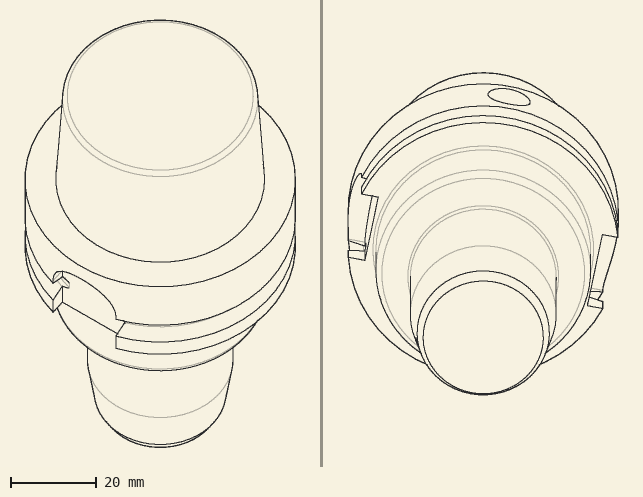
import cadquery as cq
import math


cutter_overrun = 1.0

taper_length = 32.0
taper_gauge_radius = 24.0
taper_gauge_height = 6.3
taper_ratio = 1 / 20
taper_end_fillet = 1.1

flange_radius = 63.0 / 2
flange_length = 26.0

groove_center_z = -18.05
groove_floor_radius = 54.8 / 2
groove_mouth_half_width = 3.25
groove_floor_half_width = 1.55
groove_fillet = 1.15

neck_radius = 50.0 / 2
neck_top_fillet = 0.7
shoulder_angle = 18.0
shoulder_bottom_z = -44.3
shoulder_outer_fillet = 2.0
shoulder_inner_fillet = 0.8

shank_radius = 34.0 / 2
body_bottom_z = -85.0
nose_length = 15.5
nose_radius = 15.4
nose_chamfer_height = 3.0
nose_chamfer_width = 1.4

slot_floor_distance = 26.5
slot_arc_center_z = -13.8
front_slot_width = 18.0
rear_slot_width = 16.0

recess_radius = 10.0 / 2
recess_z = -7.0
recess_depth = 5.0
mark_radius = 1.0
mark_half_angle = 59.0


def taper_radius(z):
    """Radius of the spindle taper at height z."""
    return taper_gauge_radius + (taper_gauge_height - z) * taper_ratio


def revolve_around_z(outline):
    """Revolve a closed outline of (radius, height) points around Z."""
    return cq.Workplane("XZ").polyline(outline).close().revolve(360, (0, 0, 0), (0, 1, 0))


def edge_circle(solid, radius, z):
    """Select the full circular edge of the given radius at height z."""
    margin = 0.01
    reach = radius + margin
    lower = (-reach, -reach, z - margin)
    upper = (reach, reach, z + margin)
    inside = solid.edges(cq.selectors.BoxSelector(lower, upper, boundingbox=True))
    return inside.filter(lambda edge: abs(edge.radius() - radius) < margin)


def make_body():
    """Revolve the holder outline around Z and round its edges."""
    shoulder_rise = (neck_radius - shank_radius) * math.tan(math.radians(shoulder_angle))
    shoulder_top_z = shoulder_bottom_z + shoulder_rise

    outline = [
        (0, taper_length),
        (taper_radius(taper_length), taper_length),
        (taper_radius(0), 0),
        (flange_radius, 0),
        (flange_radius, -flange_length),
        (neck_radius, -flange_length),
        (neck_radius, shoulder_top_z),
        (shank_radius, shoulder_bottom_z),
        (shank_radius, body_bottom_z + nose_length),
        (nose_radius, body_bottom_z + nose_chamfer_height),
        (nose_radius - nose_chamfer_width, body_bottom_z),
        (0, body_bottom_z),
    ]
    body = revolve_around_z(outline)

    rounded_edges = [
        (taper_radius(taper_length), taper_length, taper_end_fillet),
        (neck_radius, -flange_length, neck_top_fillet),
        (neck_radius, shoulder_top_z, shoulder_outer_fillet),
        (shank_radius, shoulder_bottom_z, shoulder_inner_fillet),
    ]
    for radius, z, fillet in rounded_edges:
        body = edge_circle(body, radius, z).fillet(fillet)
    return body


def make_groove():
    """Ring cutter for the V-shaped gripper groove with a rounded flat floor."""
    groove_depth = flange_radius - groove_floor_radius
    flank_slope = (groove_mouth_half_width - groove_floor_half_width) / groove_depth
    outer_radius = flange_radius + cutter_overrun
    outer_half_width = groove_mouth_half_width + cutter_overrun * flank_slope
    floor_top = groove_center_z + groove_floor_half_width
    floor_bottom = groove_center_z - groove_floor_half_width

    outline = [
        (outer_radius, groove_center_z + outer_half_width),
        (groove_floor_radius, floor_top),
        (groove_floor_radius, floor_bottom),
        (outer_radius, groove_center_z - outer_half_width),
    ]
    cutter = revolve_around_z(outline)
    for z in (floor_top, floor_bottom):
        cutter = edge_circle(cutter, groove_floor_radius, z).fillet(groove_fillet)
    return cutter


def make_slot(width, side):
    """Round-topped slot cutter, open at the flange bottom; side is -1 for -Y, +1 for +Y."""
    half_width = width / 2
    slot_reach = flange_radius - slot_floor_distance + cutter_overrun
    bottom_z = -flange_length - cutter_overrun
    cutter = (
        cq.Workplane("XZ", origin=(0, side * slot_floor_distance, 0))
        .moveTo(-half_width, bottom_z)
        .lineTo(-half_width, slot_arc_center_z)
        .threePointArc((0, slot_arc_center_z + half_width), (half_width, slot_arc_center_z))
        .lineTo(half_width, bottom_z)
        .close()
        .extrude(-side * slot_reach)
    )
    return cutter


def make_recess():
    """Cutter for the recess and the conical mark in its floor."""
    outer_x = -flange_radius - cutter_overrun
    floor_x = -flange_radius + recess_depth
    mark_depth = mark_radius / math.tan(math.radians(mark_half_angle))
    cutter = (
        cq.Workplane("XY")
        .moveTo(outer_x, 0)
        .lineTo(outer_x, recess_radius)
        .lineTo(floor_x, recess_radius)
        .lineTo(floor_x, mark_radius)
        .lineTo(floor_x + mark_depth, 0)
        .close()
        .revolve(360, (0, 0, 0), (1, 0, 0))
    )
    return cutter.translate((0, 0, recess_z))


result = (
    make_body()
    .cut(make_slot(front_slot_width, -1))
    .cut(make_slot(rear_slot_width, 1))
    .cut(make_recess())
    .cut(make_groove())
)